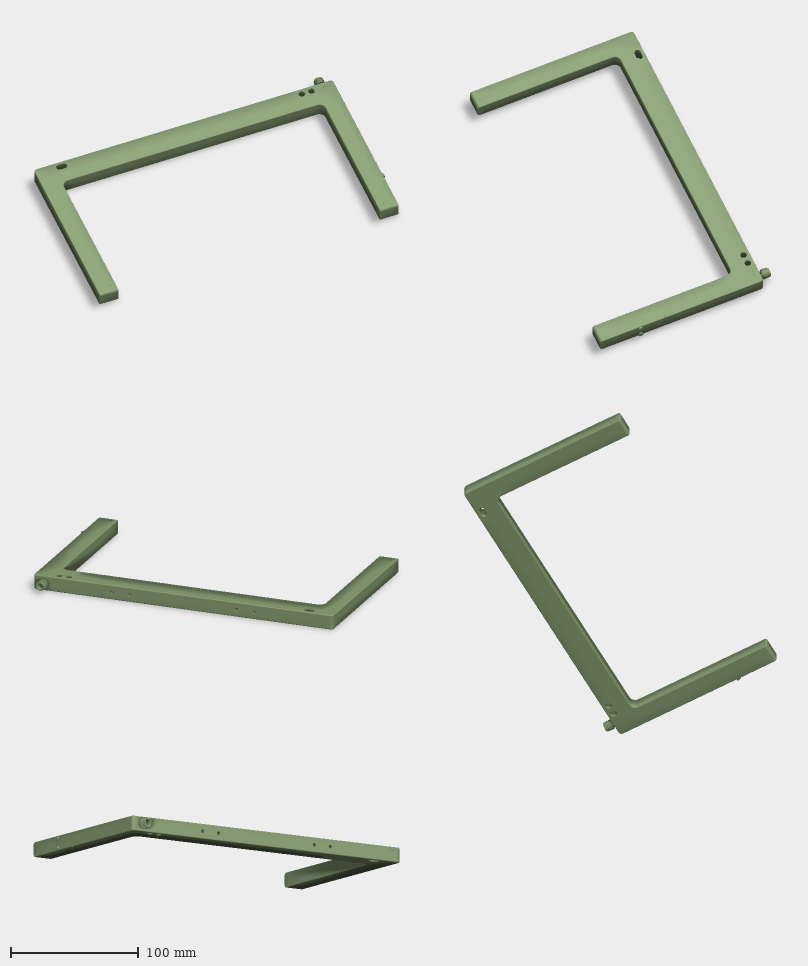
import cadquery as cq
import math

OVERALL_Y = 253.0
LENGTH_X = 140.0
LENGTH_Y = 251.7
THICKNESS = 12.0
SPINE_WIDTH = 20.0
ARM_WIDTH = 16.0
CORNER_RADIUS = 2.5
INNER_RADIUS = 5.0
TIP_RADIUS = 2.0
EDGE_RADIUS = 0.8

TOP_Z = THICKNESS / 2
MID_Y = LENGTH_Y / 2
MARK_DEPTH = 0.13

MOUNT_X = 5.0
MOUNT_DIAMETER = 5.0
MOUNT_HOLES_Y = (LENGTH_Y - 27.8, LENGTH_Y - 19.7)
SLOT_Y = 21.8
SLOT_LENGTH = 8.9

BACK_HOLE_DIAMETER = 2.8
BACK_HOLE_DEPTH = 6.3
BACK_HOLE_OFFSETS = (45.0, 60.0)

PLUG_DIAMETER = 7.5
PLUG_X = 13.0
PLUG_Y = 9.4

BEAM_X = LENGTH_X - 5.0
BEAM_DIAMETER = 2.3
TRIANGLE_SIDE = 4.5
TRIANGLE_HEIGHT = TRIANGLE_SIDE * math.sqrt(3) / 2
TRIANGLE_GAP = 2.5
BASE_BAR_LENGTH = 5.0
BASE_BAR_WIDTH = 0.3

GROOVE_X = 84.8
GROOVE_WIDTH = 1.0
GROOVE_REACH = 3.8

BUTTON_X = 105.5
BUTTON_Z = 3.8
BUTTON_DIAMETER = 3.5
BUTTON_HEIGHT = OVERALL_Y - LENGTH_Y
BUTTON_ROOT = 2.5

CONNECTOR_Y = LENGTH_Y - 8.9
CONNECTOR_LENGTH = 8.5
NECK_LENGTH = 2.3
COLLAR_LENGTH = 3.3
RELIEF_LENGTH = 0.8
LIP_LENGTH = 0.8
NECK_RADIUS = 3.0
COLLAR_RADIUS = 4.0
RELIEF_RADIUS = 3.3
RIM_RADIUS = 3.8
LIP_RADIUS = 3.3
SOCKET_RADIUS = 2.5
SOCKET_DEPTH = 5.0
NECK_HOLE_DIAMETER = 1.5
RING_COUNT = 3
RING_WIDTH = 0.5
RING_DEPTH = 0.3

WINDOW_LENGTH = 9.9
WINDOW_WIDTH = 8.5
LAMP_X = 5.0
LAMP_DIAMETER = 1.8
LAMP_PITCH = 2.5


def box(x_range, y_range, z_range):
    """Axis-aligned box between pairs of coordinates."""
    size = [high - low for low, high in (x_range, y_range, z_range)]
    return (
        cq.Workplane("XY")
        .box(*size, centered=False)
        .translate((x_range[0], y_range[0], z_range[0]))
    )


def rod(start, direction, diameter, length):
    """Cylinder growing from a start point along a direction."""
    return cq.Workplane(
        cq.Solid.makeCylinder(diameter / 2, length, cq.Vector(*start), cq.Vector(*direction))
    )


def make_frame():
    inner_y = (ARM_WIDTH, LENGTH_Y - ARM_WIDTH)
    opening = box((SPINE_WIDTH, LENGTH_X + INNER_RADIUS), inner_y, (-TOP_Z, TOP_Z))
    opening = opening.edges("|Z and <X").fillet(INNER_RADIUS)
    frame = box((0, LENGTH_X), (0, LENGTH_Y), (-TOP_Z, TOP_Z)).cut(opening)
    frame = frame.edges("|Z and <X").fillet(CORNER_RADIUS)
    frame = frame.edges("|Y and >X").fillet(TIP_RADIUS)
    outline = frame.faces("<Z or >Z").edges("not (|Y and >X)")
    return outline.fillet(EDGE_RADIUS)


def cut_mounting(body):
    for y in MOUNT_HOLES_Y:
        body = body.cut(rod((MOUNT_X, y, -TOP_Z), (0, 0, 1), MOUNT_DIAMETER, THICKNESS))
    slot = (
        cq.Workplane("XY", origin=(MOUNT_X, SLOT_Y, -TOP_Z))
        .slot2D(SLOT_LENGTH, MOUNT_DIAMETER, 90)
        .extrude(THICKNESS)
    )
    return body.cut(slot)


def cut_side_holes(body):
    for offset in BACK_HOLE_OFFSETS:
        for y in (MID_Y - offset, MID_Y + offset):
            body = body.cut(rod((0, y, 0), (1, 0, 0), BACK_HOLE_DIAMETER, BACK_HOLE_DEPTH))
    body = body.cut(rod((0, PLUG_Y, 0), (1, 0, 0), PLUG_DIAMETER, MARK_DEPTH))
    return body.cut(rod((PLUG_X, 0, 0), (0, 1, 0), PLUG_DIAMETER, MARK_DEPTH))


def cut_beam_openings(body):
    low_y = ARM_WIDTH
    high_y = LENGTH_Y - ARM_WIDTH
    body = body.cut(rod((BEAM_X, low_y, 0), (0, -1, 0), BEAM_DIAMETER, MARK_DEPTH))
    body = body.cut(rod((BEAM_X, high_y, 0), (0, 1, 0), BEAM_DIAMETER, MARK_DEPTH))
    for base_y in (low_y - TRIANGLE_GAP - TRIANGLE_HEIGHT, high_y + TRIANGLE_GAP):
        triangle = (
            cq.Workplane("XY", origin=(BEAM_X, base_y, TOP_Z))
            .moveTo(-TRIANGLE_SIDE / 2, 0)
            .lineTo(TRIANGLE_SIDE / 2, 0)
            .lineTo(0, TRIANGLE_HEIGHT)
            .close()
            .extrude(-MARK_DEPTH)
        )
        bar_x = (BEAM_X - BASE_BAR_LENGTH / 2, BEAM_X + BASE_BAR_LENGTH / 2)
        bar = box(bar_x, (base_y, base_y + BASE_BAR_WIDTH), (TOP_Z - MARK_DEPTH, TOP_Z))
        body = body.cut(triangle).cut(bar)
    return body


def cut_grooves(body):
    x_range = (GROOVE_X - GROOVE_WIDTH / 2, GROOVE_X + GROOVE_WIDTH / 2)
    core = box(x_range, (MARK_DEPTH, LENGTH_Y - MARK_DEPTH), (MARK_DEPTH - TOP_Z, TOP_Z - MARK_DEPTH))
    core = core.edges("|X").fillet(EDGE_RADIUS)
    for y_range in ((0, GROOVE_REACH), (LENGTH_Y - GROOVE_REACH, LENGTH_Y)):
        body = body.cut(box(x_range, y_range, (-TOP_Z, TOP_Z)).cut(core))
    return body


def cut_window(body):
    y_range = (CONNECTOR_Y - WINDOW_WIDTH / 2, CONNECTOR_Y + WINDOW_WIDTH / 2)
    floor_z = TOP_Z - MARK_DEPTH
    body = body.cut(box((0, WINDOW_LENGTH), y_range, (floor_z, TOP_Z)))
    for y in (CONNECTOR_Y - LAMP_PITCH / 2, CONNECTOR_Y + LAMP_PITCH / 2):
        body = body.cut(rod((LAMP_X, y, floor_z), (0, 0, -1), LAMP_DIAMETER, MARK_DEPTH))
    return body


def add_buttons(body):
    for z in (-BUTTON_Z, BUTTON_Z):
        start = (BUTTON_X, LENGTH_Y - BUTTON_ROOT, z)
        body = body.union(rod(start, (0, 1, 0), BUTTON_DIAMETER, BUTTON_ROOT + BUTTON_HEIGHT))
    return body


def add_connector(body):
    """Stepped round connector, turned as a stack of discs from the housing outward."""
    rim_length = CONNECTOR_LENGTH - NECK_LENGTH - COLLAR_LENGTH - RELIEF_LENGTH - LIP_LENGTH
    steps = (
        (NECK_RADIUS, NECK_LENGTH),
        (COLLAR_RADIUS, COLLAR_LENGTH),
        (RELIEF_RADIUS, RELIEF_LENGTH),
        (RIM_RADIUS, rim_length),
        (LIP_RADIUS, LIP_LENGTH),
    )
    x = 0
    for radius, length in steps:
        body = body.union(rod((x, CONNECTOR_Y, 0), (-1, 0, 0), 2 * radius, length))
        x -= length
    body = body.cut(rod((x, CONNECTOR_Y, 0), (1, 0, 0), 2 * SOCKET_RADIUS, SOCKET_DEPTH))
    ring_pitch = COLLAR_LENGTH / (RING_COUNT + 1)
    for index in range(1, RING_COUNT + 1):
        start = (RING_WIDTH / 2 - NECK_LENGTH - index * ring_pitch, CONNECTOR_Y, 0)
        outer = rod(start, (-1, 0, 0), 2 * COLLAR_RADIUS, RING_WIDTH)
        inner = rod(start, (-1, 0, 0), 2 * (COLLAR_RADIUS - RING_DEPTH), RING_WIDTH)
        body = body.cut(outer.cut(inner))
    neck_hole = (-NECK_LENGTH / 2, CONNECTOR_Y, -NECK_RADIUS)
    return body.cut(rod(neck_hole, (0, 0, 1), NECK_HOLE_DIAMETER, 2 * NECK_RADIUS))


result = make_frame()
result = cut_mounting(result)
result = cut_side_holes(result)
result = cut_beam_openings(result)
result = cut_grooves(result)
result = cut_window(result)
result = add_buttons(result)
result = add_connector(result)